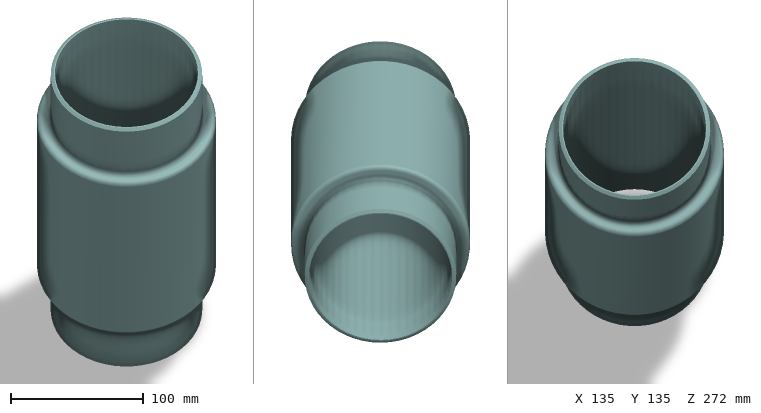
import cadquery as cq

total_length = 272.0
body_diameter = 135.0
pipe_diameter = 114.2
wall = 3.3

pipe_stub_length = 50.0
body_edge_radius = 3.3
root_radius = 2.7
bevel_height = 1.5
bevel_depth = 2.5

body_radius = body_diameter / 2
pipe_radius = pipe_diameter / 2
bore_radius = pipe_radius - wall
body_length = total_length - 2 * pipe_stub_length


def make_body():
    """Thick sleeve, centred on the origin, with rounded outer edges."""
    sleeve = cq.Workplane("XY").cylinder(body_length, body_radius)
    return sleeve.edges("%CIRCLE").fillet(body_edge_radius)


def make_pipe_end():
    """Upper pipe stub: root fillet onto the shoulder and a weld bevel at the rim."""
    shoulder_z = body_length / 2
    top_z = total_length / 2
    root_outer_radius = pipe_radius + root_radius
    profile = (
        cq.Workplane("XZ")
        .moveTo(0, 0)
        .lineTo(root_outer_radius, 0)
        .lineTo(root_outer_radius, shoulder_z)
        .radiusArc((pipe_radius, shoulder_z + root_radius), root_radius)
        .lineTo(pipe_radius, top_z - bevel_height)
        .lineTo(pipe_radius - bevel_depth, top_z)
        .lineTo(0, top_z)
        .close()
    )
    return profile.revolve(360, (0, 0, 0), (0, 1, 0))


def make_bore():
    """Straight bore through the whole length."""
    return cq.Workplane("XY").cylinder(total_length, bore_radius)


upper_end = make_pipe_end()
lower_end = upper_end.mirror("XY")
result = make_body().union(upper_end).union(lower_end).cut(make_bore())